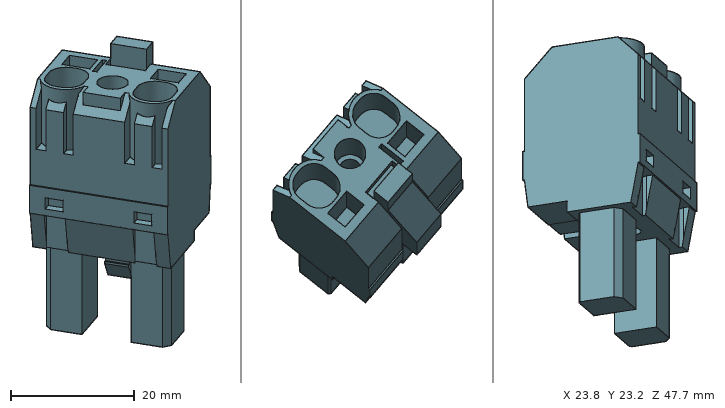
import cadquery as cq


overall_height = 47.7
overall_depth = 23.2
width = 23.75
pole_offset = 7.65
pole_centres = (-pole_offset, pole_offset)

top = 44.6
base = 15.5
rear_base = 17.4
band_projection = 0.3
front_wall = band_projection
rear_wall = 20.25
front_chamfer = 3.55
rear_chamfer = 4.85
band_bottom = 22.25
band_top = 27.25
band_rear = rear_wall + band_projection
taper_front_foot = 1.57
taper_rear_foot = 19.65

latch_width = 6.2
latch_clearance = 0.3
slot_width = latch_width + 2 * latch_clearance
slot_wall = 12.75
latch_bottom = 18.15
latch_shoulder = 43.0
latch_step_bottom = 29.75
latch_slope_foot = 37.2
knob_front = 14.2
knob_rear = 17.15

bore_width = 6.65
bore_length = 7.55
bore_corner_radius = 2.95
bore_front = 2.15
boss_wall = 0.8
boss_radius = bore_width / 2 + boss_wall
boss_axis = bore_front + bore_width / 2
groove_bottom = 33.72
groove_inner = 1.55
groove_outer = 3.2
cavity_depth = 9.55

screw_y = 6.7
screw_hole_diameter = 3.5
screw_head_diameter = 5.05
block_width = 6.4
block_front = 1.57

pocket_width = 4.8
pocket_front = 10.25
pocket_rear = 13.9
marker_width = 0.7
marker_x = -4.15
marker_front = 9.6
marker_rear = 14.1

window_width = 3.05
window_bottom = 23.4
window_top = 25.42
window_depth = 1.45

undercut_mouth = 3.63
undercut_floor = 4.2
undercut_start = 1.35
undercut_depth = 2.2

leg_inner = 4.25
leg_outer = 10.8
leg_front = 3.85
leg_rear = 11.25
leg_front_chamfer = 1.15
leg_rear_chamfer = 0.35

hook_width = 4.15
hook_front = 8.95
hook_rear = 12.0
hook_bottom = 8.25
barb_projection = 0.4
barb_bottom = 10.95
barb_top = 11.35
hook_tip = 10.15


def block(x_min, x_max, y_min, y_max, z_min, z_max):
    """Rectangular block between the given limits."""
    size = (x_max - x_min, y_max - y_min, z_max - z_min)
    return cq.Workplane("XY").box(*size, centered=False).translate((x_min, y_min, z_min))


def centred_block(x_centre, x_size, y_min, y_max, z_min, z_max):
    """Block that is symmetric about x_centre."""
    return block(x_centre - x_size / 2, x_centre + x_size / 2, y_min, y_max, z_min, z_max)


def side_extrusion(outline, x_size):
    """Solid with the given (y, z) outline, symmetric about X = 0."""
    return cq.Workplane("YZ").polyline(outline).close().extrude(x_size / 2, both=True)


def plan_extrusion(outline, z_min, z_max):
    """Upright prism with the given (x, y) outline."""
    return cq.Workplane("XY").workplane(offset=z_min).polyline(outline).close().extrude(z_max - z_min)


def cylinder(x, y, diameter, z_min, z_max):
    """Upright cylinder."""
    return cq.Workplane("XY").workplane(offset=z_min).center(x, y).circle(diameter / 2).extrude(z_max - z_min)


def make_shell():
    """Housing block with the band, top chamfers, tapered foot and base step."""
    return side_extrusion([
        (taper_front_foot, base),
        (slot_wall, base),
        (slot_wall, rear_base),
        (taper_rear_foot, rear_base),
        (rear_wall, band_bottom),
        (band_rear, band_bottom),
        (band_rear, band_top),
        (rear_wall, band_top),
        (rear_wall, top - rear_chamfer),
        (rear_wall - rear_chamfer, top),
        (front_wall + front_chamfer, top),
        (front_wall, top - front_chamfer),
        (front_wall, band_top),
        (0, band_top),
        (0, band_bottom),
        (front_wall, band_bottom),
    ], width)


def make_boss(x):
    """Round wall of a wire entry."""
    return cylinder(x, boss_axis, 2 * boss_radius, groove_bottom, top)


def make_bore(x):
    """Wire entry bore: a rounded rectangle, longer along Y."""
    bore = centred_block(x, bore_width, bore_front, bore_front + bore_length, top - cavity_depth, top)
    return bore.edges("|Z").fillet(bore_corner_radius)


def make_groove_pair(x):
    """Two upright front grooves; the boss later forms their round inner walls."""
    span = centred_block(x, 2 * groove_outer, 0, boss_axis, groove_bottom, top)
    tab = centred_block(x, 2 * groove_inner, 0, boss_axis, groove_bottom, top)
    return span.cut(tab)


def make_pocket(x):
    """Rectangular release pocket behind a wire entry."""
    return centred_block(x, pocket_width, pocket_front, pocket_rear, top - cavity_depth, top)


def make_window(x):
    """Test window in the front of the band."""
    return centred_block(x, window_width, 0, window_depth, window_bottom, window_top)


def make_undercut(x):
    """Groove in the tapered front whose sides spread apart towards the floor."""
    return plan_extrusion([
        (x - undercut_mouth / 2, 0),
        (x + undercut_mouth / 2, 0),
        (x + undercut_mouth / 2, undercut_start),
        (x + undercut_floor / 2, undercut_depth),
        (x - undercut_floor / 2, undercut_depth),
        (x - undercut_mouth / 2, undercut_start),
    ], base, band_bottom)


def make_leg(side):
    """Contact leg with its two outer corners chamfered; side is -1 or 1."""
    return plan_extrusion([
        (side * leg_inner, leg_front),
        (side * (leg_outer - leg_front_chamfer), leg_front),
        (side * leg_outer, leg_front + leg_front_chamfer),
        (side * leg_outer, leg_rear - leg_rear_chamfer),
        (side * (leg_outer - leg_rear_chamfer), leg_rear),
        (side * leg_inner, leg_rear),
    ], 0, base)


def make_hook():
    """Snap hook with a barb and a lead-in slope on its front."""
    return side_extrusion([
        (hook_front, base),
        (hook_front, barb_top),
        (hook_front - barb_projection, barb_top),
        (hook_front - barb_projection, barb_bottom),
        (hook_tip, hook_bottom),
        (hook_rear, hook_bottom),
        (hook_rear, base),
    ], hook_width)


def make_screw_hole():
    """Through hole with a deep counterbore."""
    hole = cylinder(0, screw_y, screw_hole_diameter, base, top)
    return hole.union(cylinder(0, screw_y, screw_head_diameter, top - cavity_depth, top))


def make_housing():
    """Housing with its contact legs and snap hook."""
    housing = make_shell()
    chamfer_foot = top - front_chamfer
    housing = housing.union(centred_block(0, block_width, block_front, screw_y, chamfer_foot, top))
    for x in pole_centres:
        housing = housing.cut(make_groove_pair(x))
        housing = housing.union(make_boss(x))
        housing = housing.cut(make_bore(x))
        housing = housing.cut(make_pocket(x))
        housing = housing.cut(make_window(x))
        housing = housing.cut(make_undercut(x))
    housing = housing.cut(make_screw_hole())
    housing = housing.cut(
        centred_block(marker_x, marker_width, marker_front, marker_rear, top - cavity_depth, top)
    )
    housing = housing.cut(centred_block(0, slot_width, slot_wall, band_rear, base, top))
    for side in (-1, 1):
        housing = housing.union(make_leg(side))
    return housing.union(make_hook())


def make_latch():
    """Latch that fills the depth of the slot, with a top knob and a sloped rear grip."""
    return side_extrusion([
        (slot_wall, latch_bottom),
        (rear_wall, latch_bottom),
        (rear_wall, latch_step_bottom),
        (overall_depth, latch_step_bottom),
        (overall_depth, latch_slope_foot),
        (knob_rear, latch_shoulder),
        (knob_rear, overall_height),
        (knob_front, overall_height),
        (knob_front, latch_shoulder),
        (slot_wall, latch_shoulder),
    ], latch_width)


housing = make_housing()
latch = make_latch()
result = cq.Compound.makeCompound([housing.val(), latch.val()])